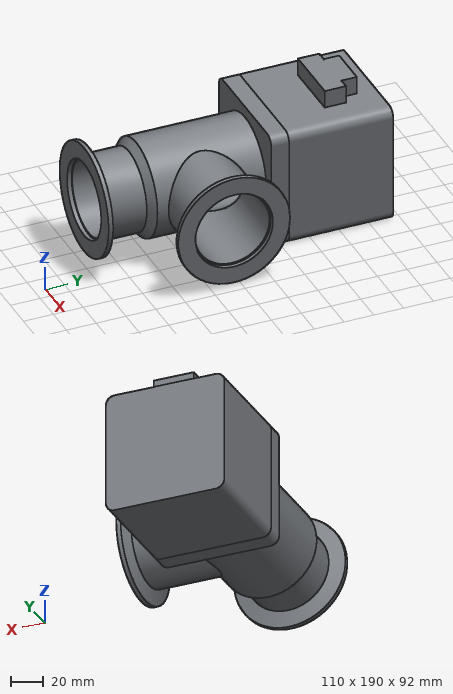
import cadquery as cq
import math


port_reach = 70.0
pipe_diameter = 55.0
bore_diameter = 50.0
port_flange_diameter = 75.0
port_flange_rim = 3.0
port_flange_taper = 15.0
recess_diameter = 52.0
recess_depth = 3.0

chamber_diameter = 65.0
shoulder_start = 35.0
chamber_top = 38.0

square_side = 80.0
corner_radius = 6.0
plate_thickness = 12.0
housing_length = 70.0
housing_start = chamber_top + plate_thickness

connector_height = 12.0
connector_width = 41.0
connector_wide_length = 14.3
connector_narrow_width = 27.0
connector_narrow_length = 10.3
connector_start = 82.5

pipe_radius = pipe_diameter / 2
chamber_radius = chamber_diameter / 2
port_flange_radius = port_flange_diameter / 2
shoulder_length = chamber_radius - pipe_radius
taper_length = (port_flange_radius - pipe_radius) * math.tan(math.radians(port_flange_taper))


def along_run_port(shape):
    """Turn a shape built along +X so that it points along -Y."""
    return shape.rotate((0, 0, 0), (0, 0, 1), -90)


def port_pipe():
    """Solid pipe end with its tapered flange, running from the origin along +X."""
    rim_start = port_reach - port_flange_rim
    return (
        cq.Workplane("XY")
        .moveTo(0, 0)
        .lineTo(0, pipe_radius)
        .lineTo(rim_start - taper_length, pipe_radius)
        .lineTo(rim_start, port_flange_radius)
        .lineTo(port_reach, port_flange_radius)
        .lineTo(port_reach, 0)
        .close()
        .revolve(360, (0, 0, 0), (1, 0, 0))
    )


def port_bore(inner_end):
    """Bore and ring recess of a port along +X, from x = inner_end to the flange face."""
    bore = (
        cq.Workplane("YZ", origin=(inner_end, 0, 0))
        .circle(bore_diameter / 2)
        .extrude(port_reach - inner_end)
    )
    recess = (
        cq.Workplane("YZ", origin=(port_reach - recess_depth, 0, 0))
        .circle(recess_diameter / 2)
        .extrude(recess_depth)
    )
    return bore.union(recess)


def chamber():
    """Solid chamber along Y with a 45 degree shoulder down to the run pipe."""
    return (
        cq.Workplane("XY")
        .moveTo(0, chamber_top)
        .lineTo(chamber_radius, chamber_top)
        .lineTo(chamber_radius, -shoulder_start)
        .lineTo(pipe_radius, -shoulder_start - shoulder_length)
        .lineTo(0, -shoulder_start - shoulder_length)
        .close()
        .revolve(360, (0, 0, 0), (0, 1, 0))
    )


def rounded_square(start, length):
    """Square block with rounded long edges, from y = start along +Y."""
    return (
        cq.Workplane("XZ", origin=(0, start, 0))
        .rect(square_side, square_side)
        .extrude(-length)
        .edges("|Y")
        .fillet(corner_radius)
    )


def make_valve_body():
    """Chamber with its mounting plate and both ports, bored through to the chamber top."""
    solid = (
        chamber()
        .union(rounded_square(chamber_top, plate_thickness))
        .union(port_pipe())
        .union(along_run_port(port_pipe()))
    )
    branch_bore = port_bore(0)
    run_bore = along_run_port(port_bore(-chamber_top))
    return solid.cut(branch_bore).cut(run_bore)


def make_housing():
    """Actuator housing seated on the mounting plate."""
    return rounded_square(housing_start, housing_length)


def make_connector():
    """T-shaped connector block standing on the top face of the housing."""
    half_width = connector_width / 2
    half_narrow = connector_narrow_width / 2
    step = connector_start + connector_wide_length
    end = step + connector_narrow_length
    return (
        cq.Workplane("XY", origin=(0, 0, square_side / 2))
        .polyline([
            (-half_width, connector_start),
            (half_width, connector_start),
            (half_width, step),
            (half_narrow, step),
            (half_narrow, end),
            (-half_narrow, end),
            (-half_narrow, step),
            (-half_width, step),
        ])
        .close()
        .extrude(connector_height)
    )


valve_body = make_valve_body()
housing = make_housing()
connector = make_connector()

result = cq.Compound.makeCompound([valve_body.val(), housing.val(), connector.val()])